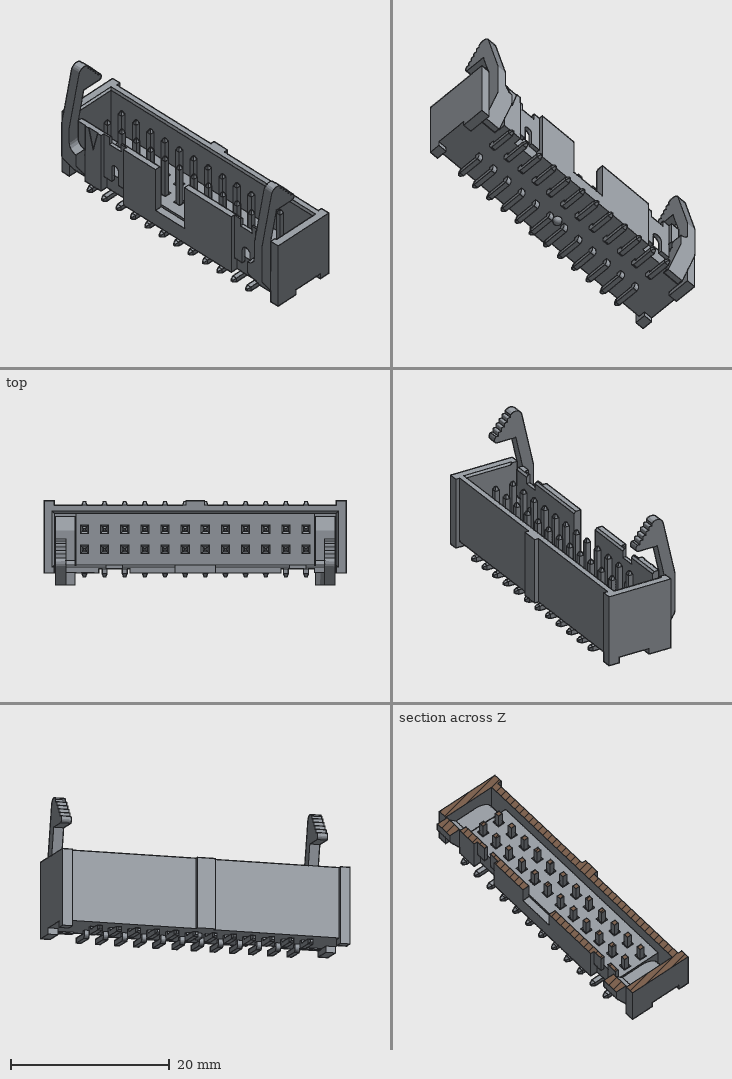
import cadquery as cq
import math


length = 38.1
depth = 9.15
top_z = 10.1
cap_bottom_z = 0.23
body_bottom_z = 1.03
cap_thickness = 1.3
back_recess = 0.57
back_key_width = 2.35
cap_notch_front = 3.25
cap_notch_back = 7.62
half_inside = length / 2 - cap_thickness

front_wall = 1.03
cavity_back = 7.55
floor_z = 3.77
rim_chamfer = 0.25
keyway_width = 5.1
keyway_sill_z = 3.43

windows = [(-12.15, -8.23, 1.2), (10.82, 15.0, 1.4)]
window_recess = 0.55
window_wall_bottom_z = 3.1
window_top_z = 5.9
rim_notch_width = 2.05
rim_notch_z = 8.9
mark_x = -13.55
mark_width = 1.55
mark_tip_z = 6.97
mark_depth = 0.08

pins_per_row = 12
row_length = 27.93
pitch = row_length / (pins_per_row - 1)
front_row_y = 3.0
back_row_y = front_row_y + pitch
pin_size = 0.65
pin_top_z = 9.75
pin_tip_size = 0.23
pin_taper = 0.45
tail_tip_size = 0.3
tail_taper = 0.45
front_tail_end = -0.5
back_tail_end = 9.05
bend_radius = 0.55
funnel_size = 1.03
funnel_depth = 0.2

foot_diameter = 1.2
foot_y = 5.5
foot_bottom_z = 0.23

lever_clearance = 0.1
stem_width = 1.35
lever_front = -1.5
lever_top_z = 18.25
heel_z = 4.25
heel_radius = 1.05
lever_bottom_z = 0.88
slot_inner_x = 15.0
slot_wall_recess = 0.08
shoulder_z = 6.1
shoulder_radius = 1.3
pocket_floor_z = 1.7
step_count = 4
grip_run = 1.8
grip_drop = 2.17
step_run = grip_run / step_count
step_drop = grip_drop / step_count
step_y = 1.95
step_radius = 0.2
step_z = 17.55
lever_outer_x = half_inside - lever_clearance
lever_inner_x = slot_inner_x + lever_clearance
stem_inner_x = lever_outer_x - stem_width


def block(x0, x1, y0, y1, z0, z1):
    """Box given by its two limits along each axis."""
    return cq.Workplane("XY").box(x1 - x0, y1 - y0, z1 - z0, centered=False).translate((x0, y0, z0))


def both_ends(shape):
    """A shape on the +X end together with its mirror image."""
    return shape.union(shape.mirror("YZ"))


def square_frustum(size_low, size_high, height):
    """Square frustum standing on the origin along +Z."""
    return (
        cq.Workplane("XY").rect(size_low, size_low)
        .workplane(offset=height).rect(size_high, size_high).loft(combine=True)
    )


def make_housing():
    body = block(-half_inside, half_inside, 0, depth - back_recess, body_bottom_z, top_z)
    cap = block(half_inside, length / 2, 0, depth, cap_bottom_z, top_z)
    cap_notch = block(half_inside, length / 2, cap_notch_front, cap_notch_back, cap_bottom_z, body_bottom_z)
    cap = cap.cut(cap_notch)
    key = block(-back_key_width / 2, back_key_width / 2, cavity_back, depth, body_bottom_z, top_z)
    body = body.union(both_ends(cap)).union(key)

    body = body.cut(block(-half_inside, half_inside, front_wall, cavity_back, floor_z, top_z))
    rim = (
        cq.Workplane("XY", origin=(0, (front_wall + cavity_back) / 2, top_z - rim_chamfer))
        .rect(2 * half_inside, cavity_back - front_wall)
        .workplane(offset=rim_chamfer)
        .rect(2 * (half_inside + rim_chamfer), cavity_back - front_wall + 2 * rim_chamfer)
        .loft(combine=True)
    )
    return body.cut(rim)


def cut_front_wall(body):
    body = body.cut(block(-keyway_width / 2, keyway_width / 2, 0, front_wall, keyway_sill_z, top_z))
    for left, right, diameter in windows:
        middle = (left + right) / 2
        radius = diameter / 2
        arc_z = window_top_z - radius
        body = body.cut(block(left, right, 0, window_recess, body_bottom_z, top_z))
        body = body.cut(block(left, right, 0, front_wall, body_bottom_z, window_wall_bottom_z))
        body = body.cut(block(middle - radius, middle + radius, 0, front_wall, window_wall_bottom_z, arc_z))
        arch = cq.Workplane("XZ", origin=(middle, 0, arc_z)).circle(radius).extrude(-front_wall)
        body = body.cut(arch)
        half_notch = rim_notch_width / 2
        body = body.cut(block(middle - half_notch, middle + half_notch, 0, front_wall, rim_notch_z, top_z))
    mark = (
        cq.Workplane("XZ")
        .moveTo(mark_x - mark_width / 2, top_z)
        .lineTo(mark_x + mark_width / 2, top_z)
        .lineTo(mark_x, mark_tip_z)
        .close()
        .extrude(-mark_depth)
    )
    return body.cut(mark)


def cut_lever_slots(body):
    low = block(slot_inner_x, half_inside, 0, front_wall, body_bottom_z, shoulder_z)
    high = block(stem_inner_x, half_inside, 0, front_wall, shoulder_z, top_z)
    face = block(slot_inner_x, half_inside, 0, slot_wall_recess, body_bottom_z, top_z)
    pocket = block(slot_inner_x, half_inside, 0, cavity_back, pocket_floor_z, floor_z)
    return body.cut(both_ends(low.union(high).union(face).union(pocket)))


def lever_side():
    """Side outline of a lever: serrated grip, leaning neck, upright stem and inner foot."""
    neck_front = (0.23, 17.4)
    knee_z = 9.85
    heel_end_y = 0.8
    sole_end_y = 1.6
    toe_bend_y = 5.1
    toe_end_y = 7.12
    foot_top_z = 3.65
    toe_mid = (6.2, 3.25)
    toe_end_z = 2.48
    stem_back = 0.15
    instep_z = foot_top_z + sole_end_y - stem_back
    neck_back = (1.15, 14.48)
    nose_y = 4.3
    nose_corner_y = 4.08
    nose_top_z = step_z - grip_drop
    nose_mid_z = (nose_top_z + neck_back[1]) / 2
    crown_y = 1.15
    crown_end_z = 17.9

    side = (
        cq.Workplane("YZ")
        .moveTo(*neck_front)
        .lineTo(lever_front, knee_z)
        .lineTo(lever_front, heel_z)
        .lineTo(heel_end_y, lever_bottom_z)
        .lineTo(sole_end_y, lever_bottom_z)
        .lineTo(sole_end_y, pocket_floor_z)
        .lineTo(toe_end_y, pocket_floor_z)
        .lineTo(toe_end_y, toe_end_z)
        .threePointArc(toe_mid, (toe_bend_y, foot_top_z))
        .lineTo(sole_end_y, foot_top_z)
        .lineTo(stem_back, instep_z)
        .lineTo(stem_back, top_z)
        .lineTo(*neck_back)
        .lineTo(nose_corner_y, neck_back[1])
        .threePointArc((nose_y, nose_mid_z), (nose_corner_y, nose_top_z))
    )
    for step in range(step_count, 0, -1):
        riser_y = step_y + step * step_run
        tread_z = step_z - step * step_drop
        next_tread_z = tread_z + step_drop
        side = (
            side.lineTo(riser_y, tread_z)
            .lineTo(riser_y, next_tread_z - step_radius)
            .radiusArc((riser_y - step_radius, next_tread_z), -step_radius)
        )
    side = side.lineTo(step_y, step_z).lineTo(step_y, crown_end_z)
    return side.threePointArc((crown_y, lever_top_z), neck_front).close()


def make_lever():
    """Lever on the +X end."""
    lever = lever_side().extrude(lever_outer_x - lever_inner_x).translate((lever_inner_x, 0, 0))
    heel = cq.selectors.NearestToPointSelector(((lever_inner_x + lever_outer_x) / 2, lever_front, heel_z))
    lever = lever.edges(heel).fillet(heel_radius)
    shoulder = (
        cq.Workplane("XZ", origin=(0, lever_front, 0))
        .moveTo(lever_inner_x, shoulder_z)
        .radiusArc((stem_inner_x, shoulder_z + shoulder_radius), -shoulder_radius)
        .lineTo(stem_inner_x, 2 * lever_top_z)
        .lineTo(lever_inner_x, 2 * lever_top_z)
        .close()
        .extrude(-depth)
    )
    return lever.cut(shoulder)


def make_pin(row_y, tail_end):
    """Pin at X = 0: tapered post, rounded bend and a tapered tail pointing away from the other row."""
    half = pin_size / 2
    outward = math.copysign(1, tail_end - row_y)
    shaft_length = pin_top_z - pin_taper
    tail_length = abs(tail_end - row_y) - tail_taper
    post = block(-half, half, row_y - half, row_y + half, 0, shaft_length)
    post = post.union(square_frustum(pin_size, pin_tip_size, pin_taper).translate((0, row_y, shaft_length)))
    bend_side = "<Y" if outward > 0 else ">Y"
    post = post.faces("<Z").edges(bend_side).fillet(bend_radius)
    tail = (
        block(-half, half, -half, half, 0, tail_length)
        .union(square_frustum(pin_size, tail_tip_size, tail_taper).translate((0, 0, tail_length)))
        .rotate((0, 0, 0), (1, 0, 0), -90 * outward)
        .translate((0, row_y, half))
    )
    return post.union(tail)


def add_pins(body):
    rows = [(front_row_y, front_tail_end), (back_row_y, back_tail_end)]
    funnel = square_frustum(funnel_size - 2 * funnel_depth, funnel_size, funnel_depth)
    for row_y, tail_end in rows:
        pin = make_pin(row_y, tail_end)
        for index in range(pins_per_row):
            x = index * pitch - row_length / 2
            body = body.cut(funnel.translate((x, row_y, floor_z - funnel_depth)))
            body = body.union(pin.translate((x, 0, 0)))
    return body


def make_foot():
    """Round standoff with a domed end under the housing."""
    radius = foot_diameter / 2
    dome_z = foot_bottom_z + radius
    dome = cq.Workplane("XY").sphere(radius).translate((0, foot_y, dome_z))
    shank = cq.Workplane("XY", origin=(0, foot_y, dome_z)).circle(radius).extrude(floor_z / 2 - dome_z)
    return shank.union(dome)


housing = cut_lever_slots(cut_front_wall(make_housing()))
housing = housing.union(both_ends(make_lever()))
result = add_pins(housing).union(make_foot())